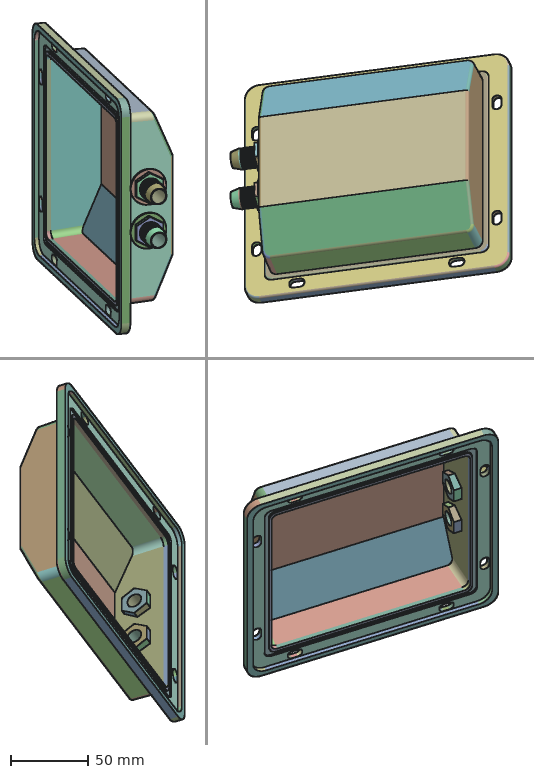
import cadquery as cq
import math

flange_width = 177.0
flange_height = 161.0
flange_depth = 6.7
flange_corner = 10.0
flange_back_round = 1.3
recess_width = 168.2
recess_height = 153.2
recess_depth = 3.0
recess_corner = 9.0

step_width = 149.8
step_height = 136.5
step_corner = 4.9
step_offset = 1.3
step_back_round = 1.0
step_floor = recess_depth + step_offset
step_back = flange_depth + step_offset

slot_length = 10.3
slot_width = 6.1
top_slot_x = 53.5
top_slot_z = 73.1
side_slot_x = 80.3
side_slot_z = 43.5

total_depth = 42.0
box_width = 142.2
box_height = 130.5
box_corner = 4.9
box_draft = 1.3
box_flat_half = 34.0
box_slope_angle = 23.3
box_edge_round = 2.0
rounding_start = 27.0

ring_width = 143.0
ring_height = box_height

cavity_width = 139.9
cavity_height = 125.8
cavity_corner = 4.2
cavity_draft = 5.0
collar_end = 6.3
cavity_depth = 39.9
cavity_flat_half = 29.6
cavity_slope_angle = 23.1

fitting_spacing = 30.0
fitting_y = 24.4
nut_across_flats = 18.0
nut_corners = nut_across_flats / math.cos(math.pi / 6)
inner_nut_start = 63.7
wall_middle = 69.5
washer_end = 72.0
washer_diameter = 24.4
outer_nut_end = 74.9
thread_end = 86.3
thread_diameter = 14.0
thread_pitch = 1.5
thread_depth = 0.7
thread_grooves = 7
overall_length = 180.5
tip_end = overall_length - flange_width / 2
tip_diameter = 10.8
bore_diameter = 10.0


def rounded_block(width, height, corner, start, end, draft=0):
    """Block along Y with rounded corners, narrowing toward +Y by the draft angle."""
    plane = cq.Workplane("XZ", origin=(0, start, 0))
    block = plane.rect(width, height).extrude(start - end, taper=draft)
    return block.edges("not #Y").fillet(corner)


def sloped_profile(depth, flat_half, slope_angle):
    """Prism along X that limits a block to a flat back with two sloped faces."""
    half_height = flange_height / 2
    slope_start = depth - (half_height - flat_half) * math.tan(math.radians(slope_angle))
    half_profile = [(0, half_height), (slope_start, half_height), (depth, flat_half)]
    mirrored = [(y, -z) for y, z in reversed(half_profile)]
    return cq.Workplane("YZ").polyline(half_profile + mirrored).close().extrude(flange_width / 2, both=True)


def make_flange():
    """Tray with a rounded back edge and a step pressed through its floor."""
    flange = rounded_block(flange_width, flange_height, flange_corner, 0, flange_depth)
    flange = flange.faces(">Y").edges().fillet(flange_back_round)
    step = rounded_block(step_width, step_height, step_corner, recess_depth, step_back)
    step = step.faces(">Y").edges().fillet(step_back_round)
    recess = rounded_block(recess_width, recess_height, recess_corner, 0, recess_depth)
    step_pocket = rounded_block(step_width, step_height, step_corner, 0, step_floor)
    return flange.union(step).cut(recess).cut(step_pocket)


def make_box():
    """Solid drafted box behind the flange, before the cavity is cut."""
    box = rounded_block(box_width, box_height, box_corner, step_back, total_depth, box_draft)
    box = box.intersect(sloped_profile(total_depth, box_flat_half, box_slope_angle))
    ridges = cq.selectors.BoxSelector(
        (-1.8, rounding_start, -box_flat_half - 1.8), (1.8, 2 * total_depth, box_flat_half + 1.8))
    back_edges = cq.selectors.BoxSelector(
        (-box_width, rounding_start, -box_height), (box_width, 2 * total_depth, box_height))
    return box.edges(back_edges - ridges).fillet(box_edge_round)


def make_ring():
    """Rim of the opening, standing proud of the step floor."""
    return rounded_block(ring_width, ring_height, box_corner, recess_depth, flange_depth)


def make_cavity():
    """Straight collar at the opening, then drafted walls down to the sloped back."""
    tapered = rounded_block(
        cavity_width, cavity_height, cavity_corner, collar_end, cavity_depth, cavity_draft)
    tapered = tapered.intersect(sloped_profile(cavity_depth, cavity_flat_half, cavity_slope_angle))
    collar = rounded_block(cavity_width, cavity_height, cavity_corner, 0, collar_end)
    return tapered.union(collar)


def cut_slots(body):
    """Two slots in each side of the flange, set lengthwise along that side."""
    def slots(x, z, angle):
        return (cq.Workplane("XZ").rect(2 * x, 2 * z, forConstruction=True).vertices()
                .slot2D(slot_length, slot_width, angle).extrude(-flange_depth))
    return body.cut(slots(top_slot_x, top_slot_z, 0)).cut(slots(side_slot_x, side_slot_z, 90))


def make_nut(start, end, z):
    """Hexagonal nut along X with two corners pointing up and down."""
    plane = cq.Workplane("YZ", origin=(start, fitting_y, z)).transformed((0, 0, 90))
    return plane.polygon(6, nut_corners).extrude(end - start)


def make_washer(z):
    plane = cq.Workplane("YZ", origin=(wall_middle, fitting_y, z))
    return plane.circle(washer_diameter / 2).extrude(washer_end - wall_middle)


def make_stem(z):
    """Turned stem with V-grooves for the thread and a conical tip."""
    crest = thread_diameter / 2
    profile = cq.Workplane("XY").moveTo(washer_end, 0).lineTo(washer_end, crest).lineTo(outer_nut_end, crest)
    for groove in range(thread_grooves):
        start = outer_nut_end + groove * thread_pitch
        profile = profile.lineTo(start + thread_pitch / 2, crest - thread_depth)
        profile = profile.lineTo(start + thread_pitch, crest)
    profile = profile.lineTo(thread_end, crest).lineTo(tip_end, tip_diameter / 2).lineTo(tip_end, 0).close()
    stem = profile.revolve(360, (0, 0, 0), (1, 0, 0))
    return stem.translate((0, fitting_y, z))


def make_fitting(z):
    """Cable fitting along X: an inner nut, then a washer, an outer nut and the stem outside."""
    inner_nut = make_nut(inner_nut_start, wall_middle, z)
    outer_nut = make_nut(washer_end, outer_nut_end, z)
    return inner_nut.union(make_washer(z)).union(outer_nut).union(make_stem(z))


def make_bore(z):
    """Wire passage through the whole fitting and the wall it sits in."""
    bore = cq.Workplane("YZ", origin=(inner_nut_start, fitting_y, z))
    return bore.circle(bore_diameter / 2).extrude(tip_end - inner_nut_start)


result = make_flange().union(make_ring()).union(make_box()).cut(make_cavity())
result = cut_slots(result)
for z in (-fitting_spacing / 2, fitting_spacing / 2):
    result = result.union(make_fitting(z)).cut(make_bore(z))